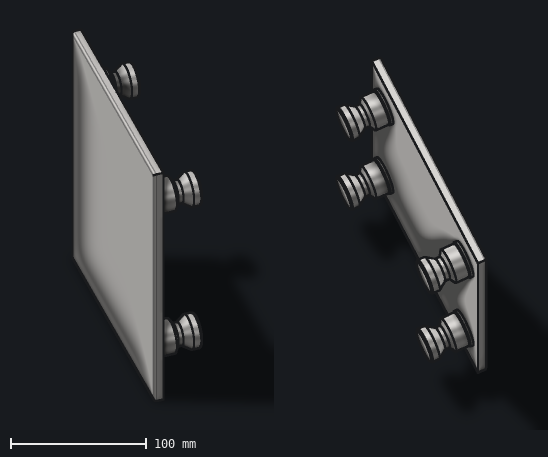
import cadquery as cq

plate_width = 178.7
plate_height = 214.5
plate_thickness = 7.5
face_edge_radius = 2.0

overall_depth = 41.2
knob_spacing = 134.7
flange_radius = 14.4
body_radius = 13.5
neck_radius = 9.0
knob_chamfer = 1.0

flange_rim_height = 2.4
flange_height = 3.0
body_height = 13.5
neck_start = 16.5
neck_end = 20.4
head_start = 27.0
knob_length = overall_depth - plate_thickness


def make_plate():
    """Flat plate whose front edges are rounded; its back lies on y = 0."""
    plate = cq.Workplane("XY").box(
        plate_width, plate_thickness, plate_height, centered=(True, False, True)
    )
    plate = plate.translate((0, -plate_thickness, 0))
    return plate.faces("<Y").edges().fillet(face_edge_radius)


def make_knob():
    """Knob turned about the Y axis, with its flange on y = 0."""
    profile = (
        cq.Workplane("XY")
        .lineTo(flange_radius, 0)
        .lineTo(flange_radius, flange_rim_height)
        .lineTo(body_radius, flange_height)
        .lineTo(body_radius, body_height)
        .lineTo(neck_radius, neck_start)
        .lineTo(neck_radius, neck_end)
        .lineTo(body_radius, head_start)
        .lineTo(body_radius, knob_length)
        .lineTo(0, knob_length)
        .close()
    )
    knob = profile.revolve(360, (0, 0, 0), (0, 1, 0))
    return knob.faces(">Y").edges().chamfer(knob_chamfer)


result = make_plate()
knob = make_knob()
for x_side in (-1, 1):
    for z_side in (-1, 1):
        knob_position = (x_side * knob_spacing / 2, 0, z_side * knob_spacing / 2)
        result = result.union(knob.translate(knob_position))